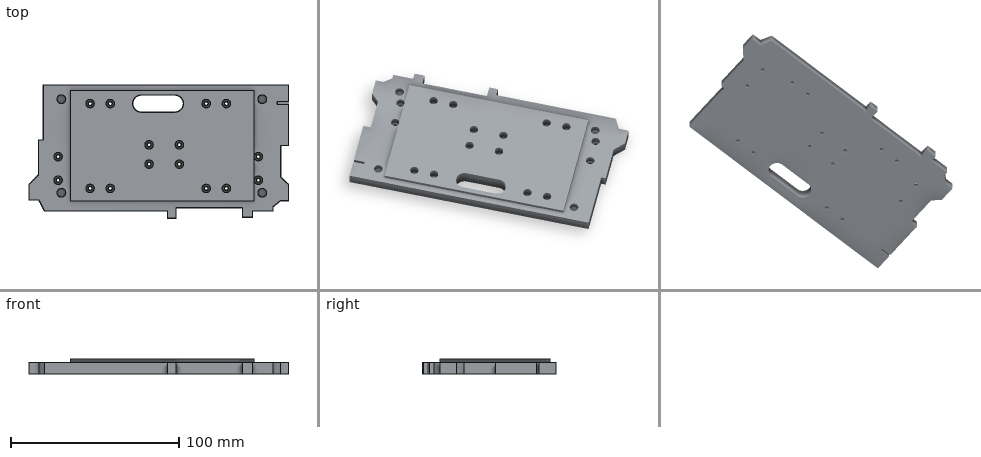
import cadquery as cq


length = 154.33
width = 79.39
base_thickness = 7.0
pad_thickness = 2.0
total_height = base_thickness + pad_thickness

left_upper_x = 8.4
left_lower_x = 5.6
left_step_y = 46.6
ear_top_y = 20.1
left_slope_top_y = 25.9
left_ear_bottom_y = 10.8
left_corner_start_x = 5.9
left_corner_end_x = 9.2

front_y = 4.3
recess_y = 6.2
tab_1_left_x = 82.3
tab_1_right_x = 87.5
tab_2_left_x = 126.9
tab_2_right_x = 133.0
tab_2_end_y = 0.6

right_corner_x = 145.1
right_corner_y = 6.9
right_ear_x = 149.5
right_ear_bottom_y = 10.4
right_recess_x = 149.7
right_slope_top_y = 24.6
right_step_y = 43.3

slit_depth = 6.6
slit_width = 1.4
slit_y = 68.6

pad_length = 109.2
pad_width = 65.5
pad_center_x = 79.2
pad_center_y = 43.1

slot_length = 30.0
slot_width = 10.0
slot_center_x = 76.75
slot_center_y = 68.2

screw_diameter = 2.2
counterbore_diameter = 5.0
blind_diameter = 5.2
counterbore_floor_z = 3.0
blind_depth = 3.5
blind_floor_z = base_thickness - blind_depth

screw_center_x = 76.85
side_screw_spacing_x = 119.0
side_screw_spacing_y = 14.0
side_screw_center_y = 29.65
bracket_spacing_x = 69.0
bracket_screw_spacing_x = 12.0
bracket_screw_spacing_y = 50.4
bracket_screw_center_y = 43.0
middle_screw_spacing_x = 18.0
middle_screw_spacing_y = 11.5
middle_screw_center_x = 80.4
middle_screw_center_y = 37.95
blind_spacing_x = 119.4
blind_spacing_y = 55.6
blind_center_x = 79.0
blind_center_y = 43.0


def rectangle_corners(center_x, center_y, spacing_x, spacing_y):
    """Four points at the corners of a rectangle."""
    return [
        (center_x + side_x * spacing_x / 2, center_y + side_y * spacing_y / 2)
        for side_x in (-1, 1)
        for side_y in (-1, 1)
    ]


def make_base():
    outline = [
        (left_upper_x, width),
        (left_upper_x, left_step_y),
        (left_lower_x, left_step_y),
        (left_lower_x, left_slope_top_y),
        (0, ear_top_y),
        (0, left_ear_bottom_y),
        (left_corner_start_x, left_ear_bottom_y),
        (left_corner_end_x, front_y),
        (tab_1_left_x, front_y),
        (tab_1_left_x, 0),
        (tab_1_right_x, 0),
        (tab_1_right_x, recess_y),
        (tab_2_left_x, recess_y),
        (tab_2_left_x, tab_2_end_y),
        (tab_2_right_x, tab_2_end_y),
        (tab_2_right_x, front_y),
        (right_corner_x, front_y),
        (right_corner_x, right_corner_y),
        (right_ear_x, right_ear_bottom_y),
        (length, right_ear_bottom_y),
        (length, ear_top_y),
        (right_recess_x, right_slope_top_y),
        (right_recess_x, right_step_y),
        (length, right_step_y),
        (length, width),
    ]
    return cq.Workplane("XY").polyline(outline).close().extrude(base_thickness)


def make_slit():
    return (
        cq.Workplane("XY")
        .center(length - slit_depth / 2, slit_y)
        .rect(slit_depth, slit_width)
        .extrude(base_thickness)
    )


def make_pad():
    return (
        cq.Workplane("XY", origin=(pad_center_x, pad_center_y, base_thickness))
        .rect(pad_length, pad_width)
        .extrude(pad_thickness)
    )


def make_slot():
    return (
        cq.Workplane("XY")
        .center(slot_center_x, slot_center_y)
        .slot2D(slot_length, slot_width)
        .extrude(total_height)
    )


def make_cylinders(points, diameter, bottom_z, top_z):
    return (
        cq.Workplane("XY", origin=(0, 0, bottom_z))
        .pushPoints(points)
        .circle(diameter / 2)
        .extrude(top_z - bottom_z)
    )


def cut_screw_holes(body, points, top_z):
    """Through holes with counterbores that open at top_z."""
    body = body.cut(make_cylinders(points, screw_diameter, 0, top_z))
    return body.cut(make_cylinders(points, counterbore_diameter, counterbore_floor_z, top_z))


side_screws = rectangle_corners(
    screw_center_x, side_screw_center_y, side_screw_spacing_x, side_screw_spacing_y
)
pad_screws = rectangle_corners(
    middle_screw_center_x, middle_screw_center_y, middle_screw_spacing_x, middle_screw_spacing_y
)
for side in (-1, 1):
    pad_screws += rectangle_corners(
        screw_center_x + side * bracket_spacing_x / 2,
        bracket_screw_center_y,
        bracket_screw_spacing_x,
        bracket_screw_spacing_y,
    )
blind_holes = rectangle_corners(blind_center_x, blind_center_y, blind_spacing_x, blind_spacing_y)

base = make_base().cut(make_slit())
base = cut_screw_holes(base, side_screws, base_thickness)
base = base.cut(make_cylinders(blind_holes, blind_diameter, blind_floor_z, base_thickness))
plate = base.union(make_pad())
plate = cut_screw_holes(plate, pad_screws, total_height)
result = plate.cut(make_slot())